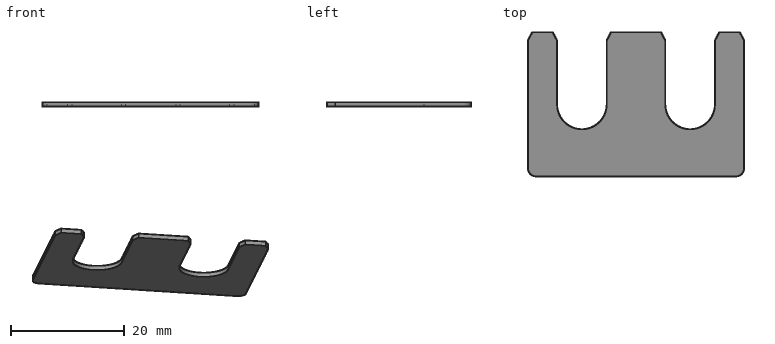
import cadquery as cq

width = 38.1
depth = 25.4
thickness = 0.8
corner_radius = 1.5

slot_width = 8.7
slot_depth = 17.05
slot_pitch = width / 2

tip_inset = 0.75
tip_length = 1.5

slot_radius = slot_width / 2
back_y = depth / 2
slot_center_y = back_y - slot_depth + slot_radius


def make_plate():
    """Plate with its two front corners rounded."""
    plate = cq.Workplane("XY").box(width, depth, thickness)
    return plate.edges("|Z and <Y").fillet(corner_radius)


def make_slot(center_x):
    """Round-ended slot, open at the back edge."""
    left = center_x - slot_radius
    right = center_x + slot_radius
    return (
        cq.Workplane("XY")
        .moveTo(left, back_y)
        .lineTo(left, slot_center_y)
        .threePointArc((center_x, slot_center_y - slot_radius), (right, slot_center_y))
        .lineTo(right, back_y)
        .close()
        .extrude(thickness, both=True)
    )


def make_tip_cut(side_x, inward):
    """Triangular wedge that bevels one prong corner; inward is +1 or -1 along X."""
    return (
        cq.Workplane("XY")
        .moveTo(side_x, back_y)
        .lineTo(side_x + inward * tip_inset, back_y)
        .lineTo(side_x, back_y - tip_length)
        .close()
        .extrude(thickness, both=True)
    )


result = make_plate()
for side in (-1, 1):
    slot_x = side * slot_pitch / 2
    result = result.cut(make_slot(slot_x))
    result = result.cut(make_tip_cut(side * width / 2, -side))
    for slot_side in (-1, 1):
        result = result.cut(make_tip_cut(slot_x + slot_side * slot_radius, slot_side))